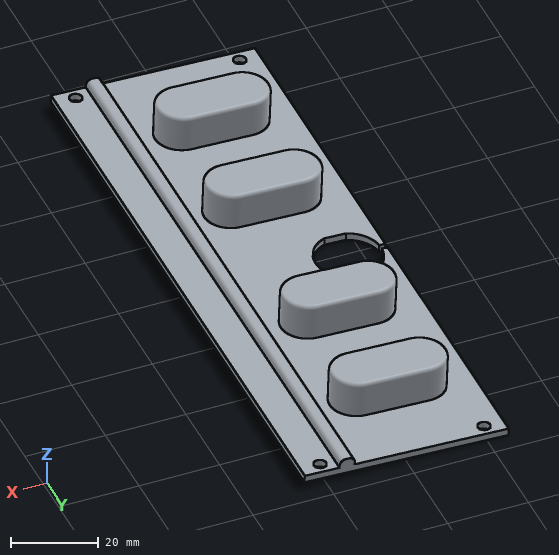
import cadquery as cq
import math

overall_x = 50.8
plate_length = 151.1
plate_thickness = 2.0
tilt_angle = 2.0
tilt = math.radians(tilt_angle)
plate_width = (overall_x - plate_thickness * math.sin(tilt)) / math.cos(tilt)

mount_hole_diameter = 3.0
mount_side_inset = 5.0
mount_end_inset = 2.9
hole_spacing_x = plate_width - 2 * mount_side_inset
hole_spacing_y = plate_length - 2 * mount_end_inset

pad_width = 12.7
pad_height = 9.2
pad_left = 6.6
pad_edge_fillet = 1.0
long_pad = 28.5
short_pad = 28.0
pads = [(53.2, long_pad), (22.7, short_pad), (-21.5, long_pad), (-52.1, short_pad)]

rib_center_x = 40.2
rib_width = 3.8
rib_height = 2.1
rib_fillet = 1.5

opening_x = 9.7
opening_y = 3.2
opening_diameter = 16.3
opening_flat_height = 15.4
slit_y = 2.9
slit_width = 1.4


def make_plate():
    """Flat plate with its left edge at X = 0 and its underside at Z = 0."""
    return cq.Workplane("XY").box(
        plate_width, plate_length, plate_thickness, centered=(False, True, False)
    )


def make_pad(center_y, length):
    """Oblong pad with a rounded top edge, standing on the plate."""
    return (
        cq.Workplane("XY", origin=(pad_left + length / 2, center_y, 0))
        .slot2D(length, pad_width)
        .extrude(plate_thickness + pad_height)
        .faces(">Z")
        .edges()
        .fillet(pad_edge_fillet)
    )


def make_rib():
    """Full-length rib with both upper edges rounded."""
    return (
        cq.Workplane("XY", origin=(rib_center_x, 0, 0))
        .box(rib_width, plate_length, plate_thickness + rib_height, centered=(True, True, False))
        .edges("|Y and >Z")
        .fillet(rib_fillet)
    )


def make_opening():
    """Cutter for the flatted round opening and its slit to the left edge."""
    disc = cq.Workplane("XY", origin=(opening_x, opening_y, 0)).circle(opening_diameter / 2)
    flats = cq.Workplane("XY", origin=(opening_x, opening_y, 0)).rect(
        opening_diameter, opening_flat_height
    )
    slit = cq.Workplane("XY", origin=(opening_x / 2, slit_y, 0)).rect(opening_x, slit_width)
    opening = disc.extrude(plate_thickness).intersect(flats.extrude(plate_thickness))
    return opening.union(slit.extrude(plate_thickness))


def make_mount_holes():
    """Cutters for the four corner holes."""
    return (
        cq.Workplane("XY", origin=(plate_width / 2, 0, 0))
        .rect(hole_spacing_x, hole_spacing_y, forConstruction=True)
        .vertices()
        .circle(mount_hole_diameter / 2)
        .extrude(plate_thickness)
    )


body = make_plate().union(make_rib())
for pad_y, pad_length in pads:
    body = body.union(make_pad(pad_y, pad_length))
body = body.cut(make_opening()).cut(make_mount_holes())

result = body.rotate((0, 0, 0), (0, 1, 0), -tilt_angle)